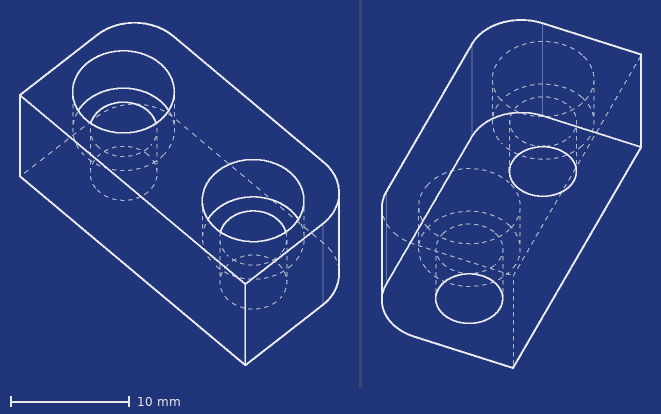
import cadquery as cq

length = 27.35
width = 13.57
height = 11.6
corner_radius = 4.51

hole_spacing = 15.73
hole_from_front = 6.5
hole_diameter = 5.64
counterbore_diameter = 8.55
counterbore_depth = 5.34

block = cq.Workplane("XY").box(length, width, height, centered=(True, True, False))
block = block.edges("|Z and >Y").fillet(corner_radius)

hole_y = hole_from_front - width / 2
hole_centers = [(side * hole_spacing / 2, hole_y) for side in (-1, 1)]
result = (
    block.faces(">Z")
    .workplane(origin=(0, 0, height))
    .pushPoints(hole_centers)
    .cboreHole(hole_diameter, counterbore_diameter, counterbore_depth)
)